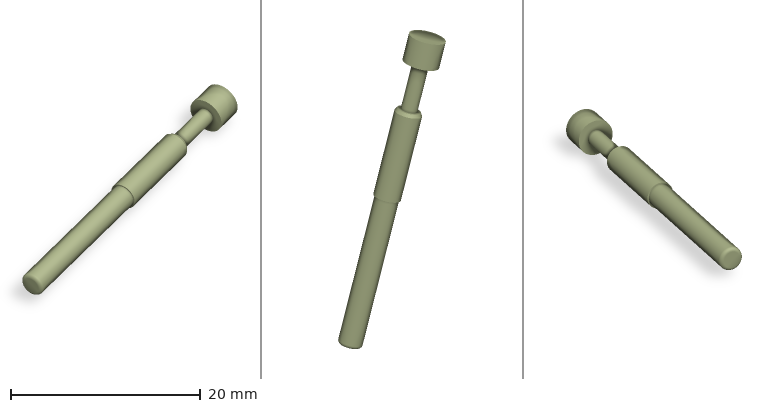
import cadquery as cq

total_length = 35.3

head_diameter = 4.0
head_length = 3.0

plunger_diameter = 1.8
plunger_length = 5.33

collar_diameter = 3.0
collar_length = 10.0
collar_chamfer_length = 0.35
collar_chamfer_depth = 0.2

barrel_diameter = 2.65
tail_fillet = 0.4

head_start = total_length - head_length
collar_end = head_start - plunger_length
collar_start = collar_end - collar_length


def cylinder(diameter, start, end):
    """Solid cylinder on the Y axis between two places along it."""
    return (
        cq.Workplane("XZ", origin=(0, start, 0))
        .circle(diameter / 2)
        .extrude(start - end)
    )


barrel = cylinder(barrel_diameter, 0, collar_start).faces("<Y").edges().fillet(tail_fillet)

collar_radius = collar_diameter / 2
collar = (
    cq.Workplane("XY")
    .moveTo(0, collar_start)
    .lineTo(collar_radius, collar_start)
    .lineTo(collar_radius, collar_end - collar_chamfer_length)
    .lineTo(collar_radius - collar_chamfer_depth, collar_end)
    .lineTo(0, collar_end)
    .close()
    .revolve(360, (0, 0, 0), (0, 1, 0))
)

plunger = cylinder(plunger_diameter, collar_end, head_start)
head = cylinder(head_diameter, head_start, total_length)

result = barrel.union(collar).union(plunger).union(head)